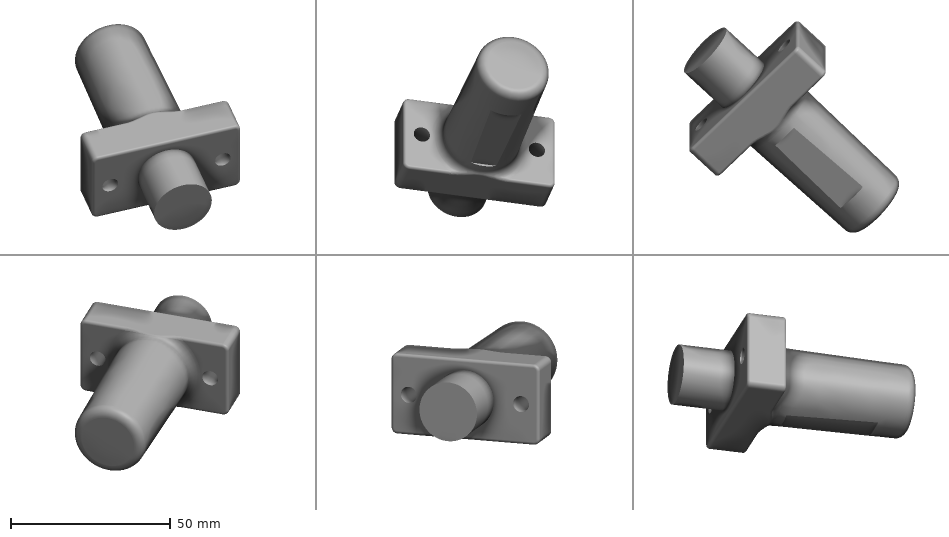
import cadquery as cq
import math

total_length = 75.5
flange_width = 49.0
flange_height = 26.0

flange_front = 46.1
flange_thickness = 12.8
flange_back = flange_front + flange_thickness

tip_radius = 11.6
root_radius = 12.4
tip_round = 2.95
flare_radius = 3

corner_round = 2.0
edge_round = 1.0
hole_diameter = 5.2
hole_spacing = 37.15

flat_start = 11.0
flat_end = 40.6
flat_start_depth = 10.7
flat_end_depth = 11.6

spigot_diameter = 19.0


def make_flange():
    """Rectangular block with its four X-direction corners rounded."""
    block = cq.Workplane("YZ", origin=(flange_front, 0, 0)).rect(flange_width, flange_height)
    return block.extrude(flange_thickness).edges("|X").fillet(corner_round)


def make_grip():
    """Revolved taper with a rounded tip and a concave flare into the flange."""
    flare_start = flange_front - flare_radius
    slope = (root_radius - tip_radius) / flare_start
    shoulder_radius = tip_radius + slope * tip_round
    diagonal = math.sqrt(0.5)
    flare_outer = root_radius + flare_radius
    tip_face_radius = shoulder_radius - tip_round
    profile = (
        cq.Workplane("XY")
        .lineTo(0, tip_face_radius)
        .threePointArc(
            (tip_round * (1 - diagonal), tip_face_radius + tip_round * diagonal),
            (tip_round, shoulder_radius),
        )
        .lineTo(flare_start, root_radius)
        .threePointArc(
            (flare_start + flare_radius * diagonal, flare_outer - flare_radius * diagonal),
            (flange_front, flare_outer),
        )
        .lineTo(flange_back, flare_outer)
        .lineTo(flange_back, 0)
        .close()
    )
    grip = profile.revolve(360, (0, 0, 0), (1, 0, 0))
    return grip.intersect(cq.Workplane("XY").box(2 * total_length, flange_width, flange_height))


def make_underside_flat():
    """Wedge whose upper face cuts the sloping flat, shallower toward the flange."""
    below_grip = -flange_height / 2
    outline = [
        (flat_start, -flat_start_depth),
        (flat_end, -flat_end_depth),
        (flat_end, below_grip),
        (flat_start, below_grip),
    ]
    return cq.Workplane("XZ").polyline(outline).close().extrude(root_radius, both=True)


def make_spigot():
    """Plain cylinder behind the flange."""
    spigot = cq.Workplane("YZ", origin=(flange_back, 0, 0)).circle(spigot_diameter / 2)
    return spigot.extrude(total_length - flange_back)


def make_holes():
    """Through holes on either side of the grip."""
    holes = cq.Workplane("YZ", origin=(flange_front, 0, 0))
    holes = holes.pushPoints([(-hole_spacing / 2, 0), (hole_spacing / 2, 0)])
    return holes.circle(hole_diameter / 2).extrude(flange_thickness)


body = make_flange().union(make_grip()).clean()

body = body.faces(">X").edges().fillet(edge_round)
body = body.faces(">Z or <Z").edges("<X").fillet(edge_round)

result = body.union(make_spigot()).cut(make_holes()).cut(make_underside_flat())